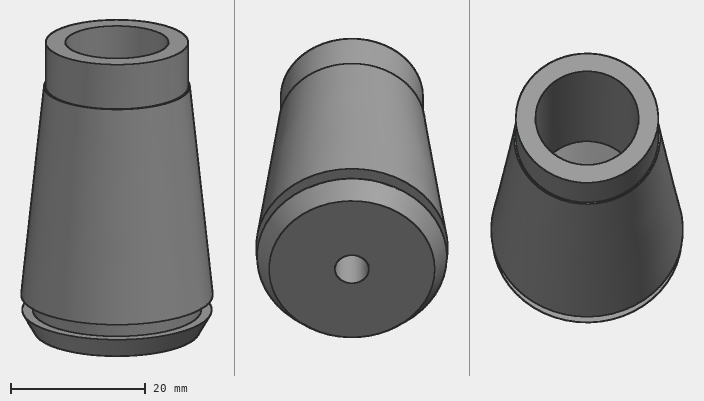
import cadquery as cq
import math

height = 45.0
body_radius = 28.5 / 2

groove_bottom = 3.2
groove_top = 5.6
shoulder = 38.05

base_radius = 24.55 / 2
lip_radius = 28.15 / 2
groove_radius = 25.0 / 2
taper_top_radius = 21.7 / 2
neck_radius = 21.15 / 2

bore_radius = 15.3 / 2
hole_radius = 5.05 / 2
cone_top = 20.25
cone_half_angle = 60.0
cone_height = (bore_radius - hole_radius) / math.tan(math.radians(cone_half_angle))
cone_bottom = cone_top - cone_height

half_section = (
    cq.Workplane("XZ")
    .moveTo(hole_radius, 0)
    .lineTo(base_radius, 0)
    .lineTo(lip_radius, groove_bottom)
    .lineTo(groove_radius, groove_bottom)
    .lineTo(groove_radius, groove_top)
    .lineTo(body_radius, groove_top)
    .lineTo(taper_top_radius, shoulder)
    .lineTo(neck_radius, shoulder)
    .lineTo(neck_radius, height)
    .lineTo(bore_radius, height)
    .lineTo(bore_radius, cone_top)
    .lineTo(hole_radius, cone_bottom)
    .close()
)

result = half_section.revolve(360, (0, 0, 0), (0, 1, 0))